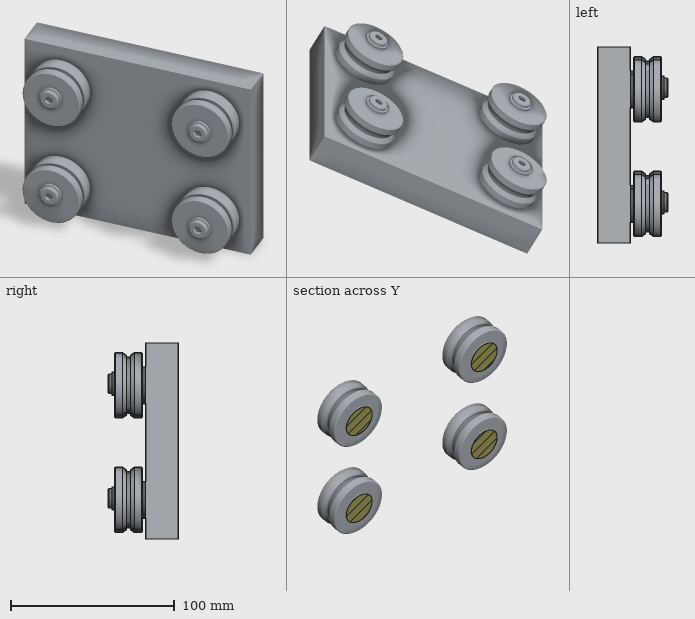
import cadquery as cq
import math

plate_width = 150.0
plate_height = 120.0
plate_thickness = 20.1

screw_spacing_x = 98.7
screw_spacing_z = 70.0
eccentric_drop = 2.0

collar_radius = 10.4
collar_length = 2.0

wheel_radius = 19.0
wheel_width = 17.1
wheel_chamfer = 0.6
groove_width = 7.5
groove_floor_width = 2.5
groove_lip_radius = 17.4
groove_floor_radius = 16.4

washer_radius = 7.0
washer_thickness = 1.5
head_radius = 6.0
head_height = 2.4
head_chamfer = 0.6
socket_flats = 5.0
socket_depth = 3.0
socket_across_corners = socket_flats / math.cos(math.radians(30))

wheel_outer_face = collar_length + wheel_width
washer_face = wheel_outer_face + washer_thickness
head_face = washer_face + head_height


def outward_plane(distance):
    """Sketch plane facing -Y, at the given distance from the plate's front face."""
    return cq.Workplane("XZ", origin=(0, -distance, 0))


def disc(start, radius, length):
    """Round disc rising toward -Y from the given distance in front of the plate."""
    return outward_plane(start).circle(radius).extrude(length)


def wheel():
    """Revolved wheel with chamfered rims and a stepped V groove."""
    middle = collar_length + wheel_width / 2
    profile = [
        (0, collar_length),
        (wheel_radius - wheel_chamfer, collar_length),
        (wheel_radius, collar_length + wheel_chamfer),
        (wheel_radius, middle - groove_width / 2),
        (groove_lip_radius, middle - groove_floor_width / 2),
        (groove_floor_radius, middle - groove_floor_width / 2),
        (groove_floor_radius, middle + groove_floor_width / 2),
        (groove_lip_radius, middle + groove_floor_width / 2),
        (wheel_radius, middle + groove_width / 2),
        (wheel_radius, wheel_outer_face - wheel_chamfer),
        (wheel_radius - wheel_chamfer, wheel_outer_face),
        (0, wheel_outer_face),
    ]
    section = cq.Workplane("XY").polyline([(r, -d) for r, d in profile]).close()
    return section.revolve(360, (0, 0, 0), (0, 1, 0))


def screw_head():
    """Chamfered round head with a blind hexagon socket."""
    head = disc(washer_face, head_radius, head_height).faces("<Y").chamfer(head_chamfer)
    socket = (
        outward_plane(head_face - socket_depth)
        .polygon(6, socket_across_corners)
        .extrude(socket_depth)
    )
    return head.cut(socket)


def roller(x, z, drop, turn):
    """Collar and wheel, shifted down by drop, with a washer and screw; all turned by the angle turn."""
    collar = disc(0, collar_radius, collar_length)
    washer = disc(wheel_outer_face, washer_radius, washer_thickness)
    rolling = collar.union(wheel()).rotate((0, 0, 0), (0, -1, 0), turn)
    fastener = washer.union(screw_head()).rotate((0, 0, 0), (0, -1, 0), turn)
    return rolling.translate((x, 0, z - drop)).union(fastener.translate((x, 0, z)))


plate = cq.Workplane("XY").box(plate_width, plate_thickness, plate_height)
result = plate.translate((0, plate_thickness / 2, 0))

for side, drop, turn in [(-1, eccentric_drop, 90), (1, 0, 0)]:
    for level in (-1, 1):
        x = side * screw_spacing_x / 2
        z = level * screw_spacing_z / 2
        result = result.union(roller(x, z, drop, turn))